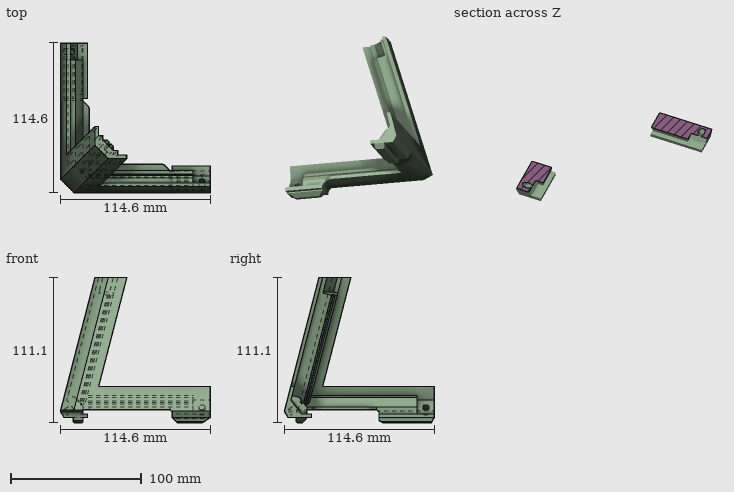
import cadquery as cq
import math


arm_length = 114.6
total_height = 111.1
lean = math.tan(math.radians(14.5))
wall = 2.9

arm_bottom = 10.0
arm_top = 28.0
wall_foot_z = 8.9
shelf_width = 22.2
core_width = 17.2
core_edge_across = 11.7
core_edge_z = 19.4
core_end = 101.5
shelf_corner_radius = 4.1

plate_width = 20.8
plate_bottom = 4.0
plate_top = 6.9
plate_bevel = 2.9
foot_lead_in = 1.6
recess_toe = 13.2
rib_edge = 1.0

hole_diameter = 4.7
hole_depth = 6.9
hole_along = 108.1
hole_across = 9.3

groove_width = 1.5
groove_depth = 1.7
groove_across = 14.2

wing_length = 24.5
post_chamfer = 10.2
step_wide = 17.5
step_narrow = 14.1
step_thickness = 6.2
post_core_depth = 13.1
post_core_drop = 7.1


def wall_at(z):
    """Distance of the leaning outer wall plane from zero at height z."""
    return lean * (z - wall_foot_z)


slope_tilt = math.radians((90 + math.degrees(math.atan(lean))) / 2)
slope = math.tan(slope_tilt)
slope_normal = (math.sin(slope_tilt), math.cos(slope_tilt))


def along_x(points, start, end):
    """Prism along X with an outline given as (y, z) points."""
    return cq.Workplane("YZ").workplane(offset=start).polyline(points).close().extrude(end - start)


def arm_beam(foot_start, grooved):
    """Wall, core and shelf of an arm up to the recess."""
    shelf_top = core_edge_z - slope * (core_width - core_edge_across)
    core_root_z = core_edge_z + lean * (core_edge_across - wall_at(core_edge_z) - wall) / (1 + lean**2)
    section = [
        (wall_at(arm_bottom), arm_bottom),
        (wall_at(arm_top), arm_top),
        (wall_at(arm_top) + wall, arm_top),
        (wall_at(core_root_z) + wall, core_root_z),
        (core_edge_across, core_edge_z),
        (core_width, shelf_top),
        (core_width, arm_bottom),
    ]
    beam = along_x(section, 0, core_end)
    if grooved:
        groove_z = core_edge_z - slope * (groove_across - core_edge_across)
        groove = (
            cq.Workplane("YZ", origin=(0, groove_across, groove_z))
            .transformed(rotate=(0, 0, -math.degrees(slope_tilt)))
            .rect(groove_width, 2 * groove_depth)
            .extrude(core_end)
        )
        beam = beam.cut(groove)

    shelf_end = foot_start - foot_lead_in
    shelf_corner = shelf_end - (shelf_width - core_width)
    half_bend = math.radians(45) / 2
    corner_setback = shelf_corner_radius * math.tan(half_bend)
    diagonal_setback = corner_setback * math.sqrt(0.5)
    arc_start = shelf_corner - corner_setback
    arc_centre_y = shelf_width - shelf_corner_radius
    arc_mid = (
        arc_start + shelf_corner_radius * math.sin(half_bend),
        arc_centre_y + shelf_corner_radius * math.cos(half_bend),
    )
    shelf = (
        cq.Workplane("XY", origin=(0, 0, arm_bottom))
        .moveTo(0, core_edge_across)
        .lineTo(shelf_end, core_edge_across)
        .lineTo(shelf_end, core_width)
        .lineTo(shelf_corner + diagonal_setback, shelf_width - diagonal_setback)
        .threePointArc(arc_mid, (arc_start, shelf_width))
        .lineTo(0, shelf_width)
        .close()
        .extrude(shelf_top - arm_bottom)
    )
    return beam.union(shelf)


def arm_foot(start):
    """Foot plate with its ramp, and the recessed end section with the screw hole."""
    ramp_start = start - foot_lead_in
    bottom_edge = [
        (0, wall_foot_z),
        (plate_bevel, plate_bottom),
        (plate_width, plate_bottom),
        (plate_width, plate_top),
    ]
    under_core = [(wall_at(arm_bottom), arm_bottom)] + bottom_edge
    under_core += [(core_width, plate_top), (core_width, arm_bottom)]
    recess_top = (plate_top + slope * (recess_toe - wall + lean * wall_foot_z)) / (1 + slope * lean)
    end_section = [(wall_at(arm_top) + wall, arm_top), (wall_at(arm_top), arm_top)] + bottom_edge
    end_section += [(recess_toe, plate_top), (wall_at(recess_top) + wall, recess_top)]
    foot = along_x(under_core, ramp_start, core_end).union(along_x(end_section, core_end, arm_length))

    ramp_cut = (
        cq.Workplane("XZ")
        .polyline([
            (ramp_start, 0),
            (ramp_start, arm_bottom),
            (start, arm_bottom - foot_lead_in),
            (start, 0),
        ])
        .close()
        .extrude(-plate_width)
    )
    hole_z = plate_top + slope * (recess_toe - hole_across)
    inward = cq.Vector(0, -slope_normal[0], -slope_normal[1])
    hole = cq.Solid.makeCylinder(
        hole_diameter / 2, hole_depth, cq.Vector(hole_along, hole_across, hole_z), inward
    )
    return foot.cut(ramp_cut).cut(cq.Workplane(hole))


def foot_rib(across, along):
    """Rib under a foot: overlap of its cross outline (y, z) and its lengthwise outline (x, z)."""
    cross = along_x(across, 0, arm_length)
    lengthwise = cq.Workplane("XZ").polyline(along).close().extrude(-plate_width)
    return cross.intersect(lengthwise)


def leaning_prism(points):
    """Prism rising parallel to the post, from offsets (x, y) measured from its sharp outer corner."""
    height = total_height - arm_bottom
    corner = wall_at(arm_bottom)
    vertices = [cq.Vector(corner + x, corner + y, arm_bottom) for x, y in points]
    wire = cq.Wire.makePolygon(vertices, close=True)
    return cq.Workplane(cq.Solid.extrudeLinear(wire, [], cq.Vector(lean * height, lean * height, height)))


def mirrored_outline(half):
    """Close a half outline, listed from the chamfer inward, with its mirror image about x = y."""
    return half + [(y, x) for x, y in reversed(half)]


x_foot_start = 85.5
x_rib_outer = 8.9
x_rib_inner = 17.0
x_rib_bevel = 3.2
x_rib_tip = 108.4
x_rib = foot_rib(
    [
        (x_rib_outer, plate_bottom),
        (x_rib_outer, rib_edge),
        (x_rib_outer + rib_edge, 0),
        (x_rib_inner - x_rib_bevel, 0),
        (x_rib_inner, x_rib_bevel),
        (x_rib_inner, plate_bottom),
    ],
    [
        (x_foot_start, plate_bottom),
        (x_foot_start + plate_bottom, 0),
        (x_rib_tip, 0),
        (arm_length, plate_bottom),
    ],
)
x_foot = arm_foot(x_foot_start).union(x_rib)

y_foot_start = 72.2
y_rib_outer = 9.9
y_rib_inner = 17.5
y_rib_tip = 112.3
y_rib_heel = 75.3
y_rib_heel_z = 1.8
y_rib = foot_rib(
    [
        (y_rib_outer, plate_bottom),
        (y_rib_outer, rib_edge),
        (y_rib_outer + rib_edge, 0),
        (y_rib_inner - rib_edge, 0),
        (y_rib_inner, rib_edge),
        (y_rib_inner, plate_bottom),
    ],
    [
        (y_foot_start, plate_bottom),
        (y_foot_start, y_rib_heel_z),
        (y_rib_heel, 0),
        (y_rib_tip, 0),
        (arm_length, plate_bottom),
    ],
)
y_foot = arm_foot(y_foot_start).union(y_rib).mirror((1, -1, 0))

envelope_reach = 2 * arm_length
envelope = leaning_prism(mirrored_outline([(post_chamfer, 0), (envelope_reach, 0)]))
beams = arm_beam(x_foot_start, True).union(arm_beam(y_foot_start, False).mirror((1, -1, 0)))
beams = beams.intersect(envelope)

post = leaning_prism(
    mirrored_outline([
        (post_chamfer, 0),
        (wing_length, 0),
        (wing_length, wall),
        (step_wide, wall),
        (step_wide, step_thickness),
        (step_narrow, step_thickness),
    ])
)

groove_half = groove_width / 2 * math.sqrt(0.5)
groove_side = groove_depth * math.sqrt(0.5)
core_middle = (step_wide + post_core_depth) / 2
core = leaning_prism(
    mirrored_outline([
        (post_chamfer, 0),
        (step_wide, 0),
        (step_wide, post_core_depth),
        (core_middle + groove_half, core_middle - groove_half),
        (core_middle + groove_half - groove_side, core_middle - groove_half - groove_side),
    ])
)
post_axis = cq.Vector(lean, lean, 1).normalized()
top_corner = cq.Vector(wall_at(total_height), wall_at(total_height), total_height)
core_end_plane = cq.Plane(origin=top_corner - post_axis * post_core_drop, normal=post_axis)
above_core = cq.Workplane(core_end_plane).rect(arm_length, arm_length).extrude(arm_length)
core = core.cut(above_core)

result = beams.union(x_foot).union(y_foot).union(post).union(core).clean()